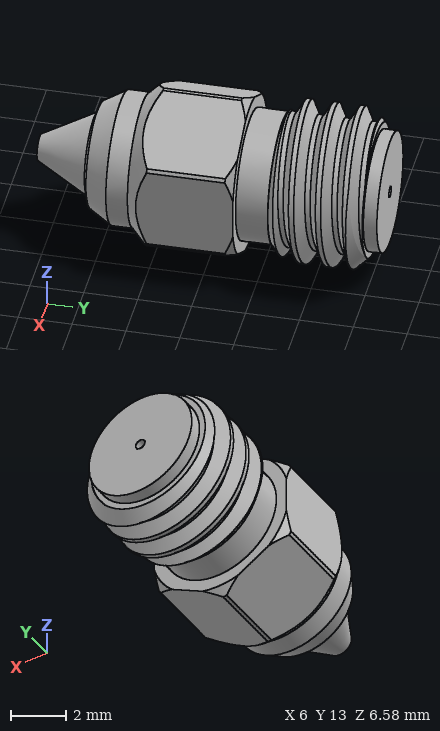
import cadquery as cq
import math


tip_cone_end = 2.0
shoulder_start = 2.15
collar_start = 3.0
hex_start = 3.8
hex_end = 7.8
thread_start = 9.0
thread_end = 12.5
overall_length = 13.0

orifice_radius = 0.2
tip_radius = 0.5
tip_cone_radius = 1.57
shoulder_radius = 2.0
collar_radius = 2.5
neck_radius = 2.45
pilot_radius = 2.25

hex_sides = 6
hex_half_sector = 180 / hex_sides
hex_across_flats = 5.775
hex_corner_radius = 3.29
hex_rear_chamfer = 0.3
hex_front_chamfer = hex_corner_radius - collar_radius

thread_radius = 3.0
thread_pitch = 1.0
thread_root_radius = 2.475
thread_root_width = 0.2
thread_flank_angle = 30.0
thread_chamfer_radius = 2.5
groove_overshoot = 0.1
groove_lead_in = 1.5 * thread_pitch
groove_turns = 6


def revolve_profile(points):
    """Spin a closed outline of (radius, height) points about the Z axis."""
    outline = cq.Workplane("YZ").polyline(points).close()
    return outline.revolve(360, (0, 0, 0), (0, 1, 0))


def make_turned_body():
    """Tip, shoulder, collar, neck and rear pilot, with the core running through hexagon and thread."""
    return revolve_profile([
        (0, 0),
        (tip_radius, 0),
        (tip_cone_radius, tip_cone_end),
        (shoulder_radius, shoulder_start),
        (collar_radius, collar_start),
        (collar_radius, hex_start),
        (neck_radius, hex_start),
        (neck_radius, thread_end),
        (pilot_radius, thread_end),
        (pilot_radius, overall_length),
        (0, overall_length),
    ])


def make_hexagon():
    """Wrench hexagon with flats facing +X and -X and turned, chamfered corners."""
    corner_diameter = hex_across_flats / math.cos(math.radians(hex_half_sector))
    prism = (
        cq.Workplane("XY")
        .workplane(offset=hex_start)
        .transformed(rotate=(0, 0, hex_half_sector))
        .polygon(hex_sides, corner_diameter)
        .extrude(hex_end - hex_start)
    )
    envelope = revolve_profile([
        (0, hex_start),
        (collar_radius, hex_start),
        (hex_corner_radius, hex_start + hex_front_chamfer),
        (hex_corner_radius, hex_end - hex_rear_chamfer),
        (hex_corner_radius - hex_rear_chamfer, hex_end),
        (0, hex_end),
    ])
    return prism.intersect(envelope)


def make_thread_groove():
    """Trapezoidal groove swept along a helix, reaching past both thread ends."""
    start_height = thread_start - groove_lead_in
    outer_radius = thread_radius + groove_overshoot
    flank_run = (outer_radius - thread_root_radius) * math.tan(math.radians(thread_flank_angle))
    root_half = thread_root_width / 2
    outer_half = root_half + flank_run
    helix = cq.Wire.makeHelix(thread_pitch, groove_turns * thread_pitch, thread_root_radius)
    path = cq.Workplane(obj=helix.translate(cq.Vector(0, 0, start_height)))
    return (
        cq.Workplane("XZ")
        .polyline([
            (thread_root_radius, start_height - root_half),
            (outer_radius, start_height - outer_half),
            (outer_radius, start_height + outer_half),
            (thread_root_radius, start_height + root_half),
        ])
        .close()
        .sweep(path, isFrenet=True)
    )


def make_thread():
    """Threaded sleeve around the core, chamfered at both ends."""
    chamfer = thread_radius - thread_chamfer_radius
    blank = revolve_profile([
        (0, thread_start),
        (thread_chamfer_radius, thread_start),
        (thread_radius, thread_start + chamfer),
        (thread_radius, thread_end - chamfer),
        (thread_chamfer_radius, thread_end),
        (0, thread_end),
    ])
    return blank.cut(make_thread_groove())


def make_orifice():
    """Straight bore through the full length."""
    return cq.Workplane("XY").circle(orifice_radius).extrude(overall_length)


upright = make_turned_body().union(make_hexagon()).union(make_thread()).cut(make_orifice())
result = upright.solids().rotate((0, 0, 0), (1, 0, 0), -90)